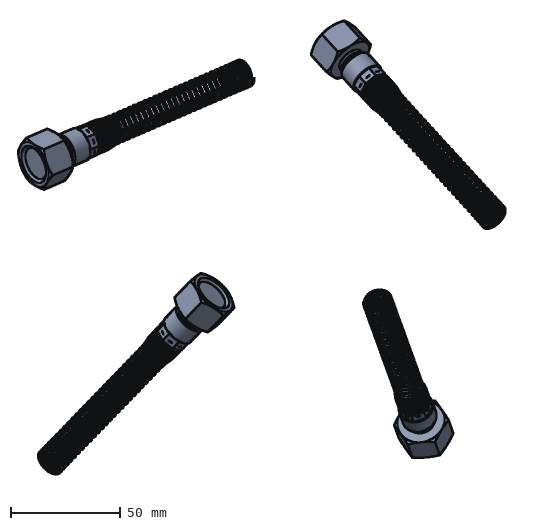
import cadquery as cq
import math


NUT_ACROSS_FLATS = 22.0
NUT_LENGTH = 14.0
NUT_BEVEL_ANGLE = math.radians(30)
NUT_BORE_RADIUS = 7.65
NUT_MOUTH_RADIUS = 9.0
NUT_MOUTH_DEPTH = NUT_MOUTH_RADIUS - NUT_BORE_RADIUS
NUT_BACK_WALL = 3.0

HEAD_FACE_Y = NUT_MOUTH_DEPTH
HEAD_BACK_Y = NUT_LENGTH - NUT_BACK_WALL
NECK_RADIUS = 6.25
NECK_END_Y = 15.6
COLLAR_RADIUS = 7.0
COLLAR_Y = NECK_END_Y + (COLLAR_RADIUS - NECK_RADIUS)
SLEEVE_RADIUS = 8.0
SLEEVE_START_Y = 17.25
SLEEVE_CHAMFER = 0.8
SLEEVE_END_Y = 27.0
OCTAGON_ACROSS_FLATS = 14.4
OCTAGON_TURN = 7.2
OCTAGON_END_Y = 32.35
BEAD_RADIUS = 7.26
BEAD_WIDTH = 0.1
BEAD_Y = 30.2
STUB_RADIUS = 6.0

WIRE_DIAMETER = 1.12
COIL_RADIUS = 6.15
SEAT_COIL_RADIUS = 6.9
START_ANGLE = math.pi / 2
SPRING_START_Y = 33.0
SEAT_PITCH = 1.125
OPEN_PITCH = 3.0
END_PITCH = 1.37
STRETCHES = [
    (11, SEAT_PITCH, SEAT_PITCH),
    (1.25, SEAT_PITCH, OPEN_PITCH),
    (21.5, OPEN_PITCH, OPEN_PITCH),
    (4, OPEN_PITCH, END_PITCH),
    (2, END_PITCH, END_PITCH),
]
TAPER_START_TURN = 6
TAPER_TURNS = 4
POINTS_PER_TURN = 12

STUB_END_Y = SPRING_START_Y + TAPER_START_TURN * SEAT_PITCH


def revolved(profile):
    """Revolve a (radius, y) outline about the Y axis."""
    return cq.Workplane("XY").polyline(profile).close().revolve(360, (0, 0, 0), (0, 1, 0))


def prism(sides, across_flats, start_y, end_y, turn=0.0):
    """Regular prism along Y, with a corner on +X before it is turned about Y."""
    corner_diameter = across_flats / math.cos(math.pi / sides)
    plane = cq.Workplane("XZ", origin=(0, start_y, 0))
    body = plane.polygon(sides, corner_diameter).extrude(-(end_y - start_y))
    return body.rotate((0, 0, 0), (0, 1, 0), turn)


def make_nut():
    corner_radius = NUT_ACROSS_FLATS / 2 / math.cos(math.pi / 6)
    flat_radius = NUT_ACROSS_FLATS / 2
    bevel = (corner_radius - flat_radius) * math.tan(NUT_BEVEL_ANGLE)
    envelope = revolved([
        (0, 0),
        (flat_radius, 0),
        (corner_radius, bevel),
        (corner_radius, NUT_LENGTH - bevel),
        (flat_radius, NUT_LENGTH),
        (0, NUT_LENGTH),
    ])
    bore = revolved([
        (0, 0),
        (NUT_MOUTH_RADIUS, 0),
        (NUT_BORE_RADIUS, NUT_MOUTH_DEPTH),
        (NUT_BORE_RADIUS, HEAD_BACK_Y),
        (NECK_RADIUS, HEAD_BACK_Y),
        (NECK_RADIUS, NUT_LENGTH),
        (0, NUT_LENGTH),
    ])
    return prism(6, NUT_ACROSS_FLATS, 0, NUT_LENGTH).intersect(envelope).cut(bore)


def make_fitting():
    turned = revolved([
        (0, HEAD_FACE_Y),
        (NUT_BORE_RADIUS, HEAD_FACE_Y),
        (NUT_BORE_RADIUS, HEAD_BACK_Y),
        (NECK_RADIUS, HEAD_BACK_Y),
        (NECK_RADIUS, NECK_END_Y),
        (COLLAR_RADIUS, COLLAR_Y),
        (COLLAR_RADIUS, SLEEVE_START_Y),
        (SLEEVE_RADIUS - SLEEVE_CHAMFER, SLEEVE_START_Y),
        (SLEEVE_RADIUS, SLEEVE_START_Y + SLEEVE_CHAMFER),
        (SLEEVE_RADIUS, SLEEVE_END_Y),
        (STUB_RADIUS, SLEEVE_END_Y),
        (STUB_RADIUS, STUB_END_Y),
        (0, STUB_END_Y),
    ])
    octagon = prism(8, OCTAGON_ACROSS_FLATS, SLEEVE_END_Y, OCTAGON_END_Y, -OCTAGON_TURN)
    bead = (
        cq.Workplane("XZ", origin=(0, BEAD_Y - BEAD_WIDTH / 2, 0))
        .circle(BEAD_RADIUS)
        .extrude(-BEAD_WIDTH)
    )
    return turned.union(octagon).union(bead)


def climb(turns):
    """Axial advance of the wire after a number of turns from its start."""
    height = 0
    remaining = turns
    for length, first_pitch, last_pitch in STRETCHES:
        wound = min(max(remaining, 0), length)
        pitch_here = first_pitch + (last_pitch - first_pitch) * wound / length
        height += wound * (first_pitch + pitch_here) / 2
        remaining -= length
    return height


def coil_radius(turns):
    """Wide on the seat, then tapering down to the free coils."""
    taper = (turns - TAPER_START_TURN) / TAPER_TURNS
    taper = min(max(taper, 0), 1)
    return SEAT_COIL_RADIUS + (COIL_RADIUS - SEAT_COIL_RADIUS) * taper


def wire_point(turns):
    angle = START_ANGLE + 2 * math.pi * turns
    radius = coil_radius(turns)
    return cq.Vector(
        radius * math.cos(angle),
        SPRING_START_Y + climb(turns),
        radius * math.sin(angle),
    )


def make_spring():
    total_turns = sum(stretch[0] for stretch in STRETCHES)
    steps = round(total_turns * POINTS_PER_TURN)
    points = [wire_point(total_turns * i / steps) for i in range(steps + 1)]
    centreline = cq.Edge.makeSpline(points)
    section = cq.Plane(
        origin=points[0],
        xDir=(0, 0, 1),
        normal=centreline.tangentAt(0),
    )
    path = cq.Workplane(cq.Wire.assembleEdges([centreline]))
    return cq.Workplane(section).circle(WIRE_DIAMETER / 2).sweep(path, isFrenet=True)


nut = make_nut()
fitting = make_fitting()
spring = make_spring()

result = cq.Compound.makeCompound([nut.val(), fitting.val(), spring.val()])